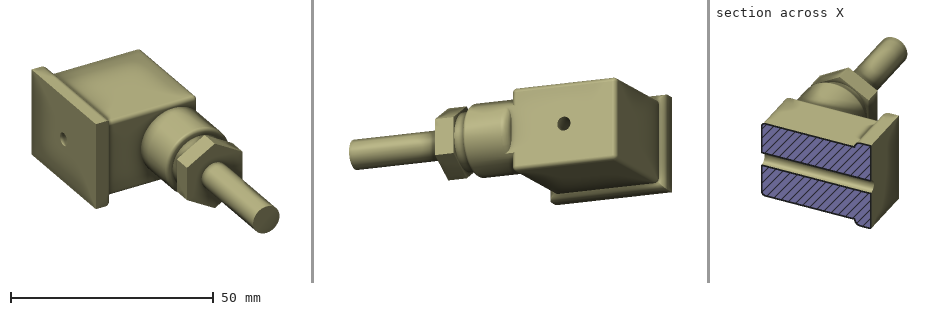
import cadquery as cq
import math

flange_length = 31.45
flange_height = 24.2
flange_depth = 4.5
flange_round = 1.7

housing_length = 28.35
housing_height = 21.1
housing_back = 30.1
housing_round = 1.1
screw_hole_diameter = 3.55

overall_length = 75.4
overall_depth = 32.3
barrel_diameter = 18.5
barrel_end = 42.4
barrel_inner_round = 2.0
barrel_outer_round = 0.9
neck_diameter = 14.9
nut_start = 45.25
nut_end = 50.2
nut_across_flats = 15.9
cable_diameter = 7.55

center_x = flange_length / 2
housing_end = center_x + housing_length / 2
gland_y = overall_depth - barrel_diameter / 2
nut_across_corners = nut_across_flats / math.cos(math.radians(30))


def block(length, depth, height):
    """Box centred on the flange in X and Z, extending back from the front face."""
    return cq.Workplane("XY").box(length, depth, height).translate((center_x, depth / 2, 0))


def gland_plane(x):
    """Workplane facing +X and centred on the gland axis."""
    return cq.Workplane("YZ", origin=(x, gland_y, 0))


def gland_cylinder(diameter, start, end):
    return gland_plane(start).circle(diameter / 2).extrude(end - start)


def make_flange():
    return block(flange_length, flange_depth, flange_height).faces(">Y").edges().fillet(flange_round)


def make_housing():
    housing = block(housing_length, housing_back, housing_height)
    return housing.edges("|Y or >Y").fillet(housing_round)


def make_barrel():
    crown = gland_cylinder(barrel_diameter, housing_end, barrel_end)
    crown = crown.faces("<X").edges().fillet(barrel_inner_round)
    crown = crown.faces(">X").edges().fillet(barrel_outer_round)

    root_start = housing_end - housing_round
    root_end = housing_end + barrel_inner_round
    root = gland_cylinder(barrel_diameter, root_start, root_end)
    root = root.intersect(block(overall_length, housing_back, flange_height))
    return crown.union(root)


def make_nut():
    nut = gland_plane(nut_start).polygon(6, nut_across_corners).extrude(nut_end - nut_start)
    return nut.rotate((0, gland_y, 0), (1, gland_y, 0), 90)


result = (
    make_flange()
    .union(make_housing())
    .union(make_barrel())
    .union(gland_cylinder(neck_diameter, barrel_end, nut_start))
    .union(make_nut())
    .union(gland_cylinder(cable_diameter, nut_end, overall_length))
)

screw_hole = (
    cq.Workplane("XZ", origin=(center_x, 0, 0))
    .circle(screw_hole_diameter / 2)
    .extrude(-housing_back)
)
result = result.cut(screw_hole)